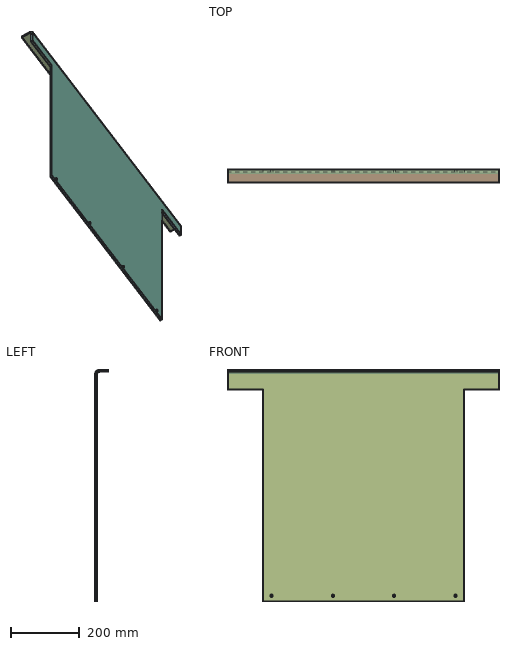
import cadquery as cq

total_width = 787.4
total_height = 671.53
flange_depth = 38.1
thickness = 6.35
inner_bend_radius = 6.35
panel_width = 584.2
wing_height = 57.15

hole_diameter = 6.35
hole_count = 4
hole_pitch = 177.8
hole_edge_distance = 15.875

outer_bend_radius = inner_bend_radius + thickness


def make_panel():
    """T-shaped upright sheet, back face on Y = 0 and bottom edge on Z = 0."""
    wing_bottom = total_height - wing_height
    bend_start = total_height - outer_bend_radius
    half_width = total_width / 2
    half_panel = panel_width / 2
    return (
        cq.Workplane("XZ")
        .moveTo(-half_panel, 0)
        .lineTo(half_panel, 0)
        .lineTo(half_panel, wing_bottom)
        .lineTo(half_width, wing_bottom)
        .lineTo(half_width, bend_start)
        .lineTo(-half_width, bend_start)
        .lineTo(-half_width, wing_bottom)
        .lineTo(-half_panel, wing_bottom)
        .close()
        .extrude(thickness)
    )


def make_bent_flange():
    """Rounded 90 degree bend and the flat top flange, pointing toward -Y."""
    bend_start = total_height - outer_bend_radius
    return (
        cq.Workplane("YZ", origin=(-total_width / 2, 0, 0))
        .moveTo(0, bend_start)
        .radiusArc((-outer_bend_radius, total_height), -outer_bend_radius)
        .lineTo(-flange_depth, total_height)
        .lineTo(-flange_depth, total_height - thickness)
        .lineTo(-outer_bend_radius, total_height - thickness)
        .radiusArc((-thickness, bend_start), inner_bend_radius)
        .close()
        .extrude(total_width)
    )


def make_hole_cutters():
    """Row of round through holes, centred on the panel."""
    first_x = -hole_pitch * (hole_count - 1) / 2
    centres = [(first_x + index * hole_pitch, hole_edge_distance) for index in range(hole_count)]
    return (
        cq.Workplane("XZ")
        .pushPoints(centres)
        .circle(hole_diameter / 2)
        .extrude(thickness)
    )


sheet = make_panel().union(make_bent_flange())
result = sheet.cut(make_hole_cutters())